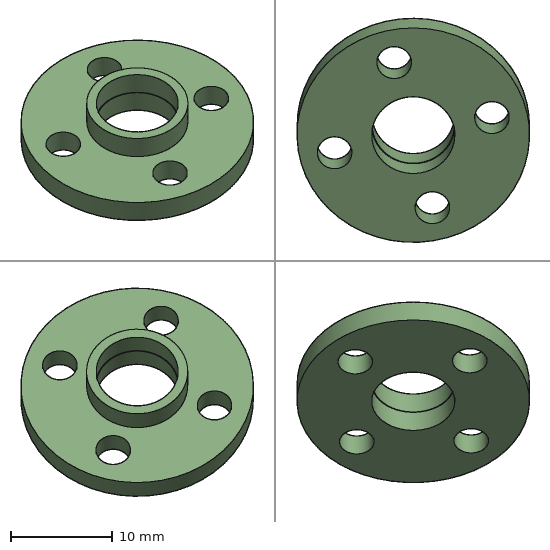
import cadquery as cq

flange_diameter = 23.0
total_height = 5.0
flange_thickness = total_height / 2

hub_diameter = 10.0

hub_bore_diameter = 8.1
flange_bore_diameter = 8.2

bolt_hole_count = 4
bolt_hole_diameter = 3.4
bolt_circle_diameter = 16.0


def cylinder(diameter, bottom, top):
    """Upright cylinder on the Z axis between two heights."""
    return cq.Workplane("XY").workplane(offset=bottom).circle(diameter / 2).extrude(top - bottom)


def bolt_holes():
    """Cutting bodies for the holes spaced evenly around the flange."""
    return (
        cq.Workplane("XY")
        .polarArray(bolt_circle_diameter / 2, 0, 360, bolt_hole_count)
        .circle(bolt_hole_diameter / 2)
        .extrude(flange_thickness)
    )


flange = cylinder(flange_diameter, 0, flange_thickness)
hub = cylinder(hub_diameter, flange_thickness, total_height)
hub_bore = cylinder(hub_bore_diameter, flange_thickness, total_height)
flange_bore = cylinder(flange_bore_diameter, 0, flange_thickness)

result = flange.union(hub).cut(hub_bore).cut(flange_bore).cut(bolt_holes())